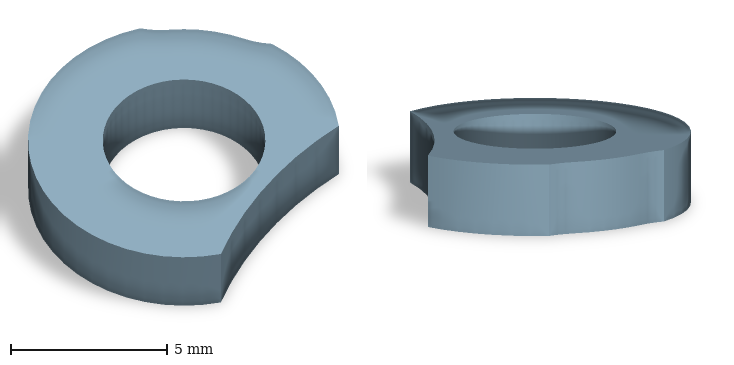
import cadquery as cq
import math

outer_radius = 4.995
bore_diameter = 5.2
thickness = 2.34

scallop_angle = 37.1
scallop_half_angle = 41.8
scallop_floor_radius = 3.27

relief_angle = 152.7
relief_half_angle = 25.3
relief_floor_half_angle = 14.9
relief_floor_radius = 4.76


def polar(radius, angle):
    """Point at a radius and an angle in degrees around the ring axis."""
    return (radius * math.cos(math.radians(angle)), radius * math.sin(math.radians(angle)))


scallop_start = scallop_angle - scallop_half_angle
scallop_end = scallop_angle + scallop_half_angle
relief_start = relief_angle - relief_half_angle
relief_end = relief_angle + relief_half_angle
floor_start = polar(relief_floor_radius, relief_angle - relief_floor_half_angle)
floor_end = polar(relief_floor_radius, relief_angle + relief_floor_half_angle)


def flare_middle(side):
    """Middle of a flare: an arc tangent to the relief floor that runs out to the rim.

    side is -1 for the flare before the floor and +1 for the one after it.
    """
    floor_angle = relief_angle + side * relief_floor_half_angle
    sweep = math.radians(relief_half_angle - relief_floor_half_angle)
    along = outer_radius * math.sin(sweep)
    rise = outer_radius * math.cos(sweep) - relief_floor_radius
    flare_radius = (along**2 + rise**2) / (2 * rise)
    half_turn = math.atan2(rise, along)
    mid_along = flare_radius * math.sin(half_turn)
    mid_radial = relief_floor_radius + flare_radius * (1 - math.cos(half_turn))
    offset = math.degrees(math.atan2(mid_along, mid_radial))
    return polar(math.hypot(mid_along, mid_radial), floor_angle + side * offset)


outline = (
    cq.Workplane("XY")
    .moveTo(*polar(outer_radius, scallop_start))
    .threePointArc(polar(scallop_floor_radius, scallop_angle), polar(outer_radius, scallop_end))
    .threePointArc(
        polar(outer_radius, (scallop_end + relief_start) / 2),
        polar(outer_radius, relief_start),
    )
    .threePointArc(flare_middle(-1), floor_start)
    .threePointArc(polar(relief_floor_radius, relief_angle), floor_end)
    .threePointArc(flare_middle(1), polar(outer_radius, relief_end))
    .threePointArc(
        polar(outer_radius, (relief_end + scallop_start + 360) / 2),
        polar(outer_radius, scallop_start),
    )
    .close()
)

bore = cq.Workplane("XY").circle(bore_diameter / 2).extrude(thickness)
result = outline.extrude(thickness).cut(bore)